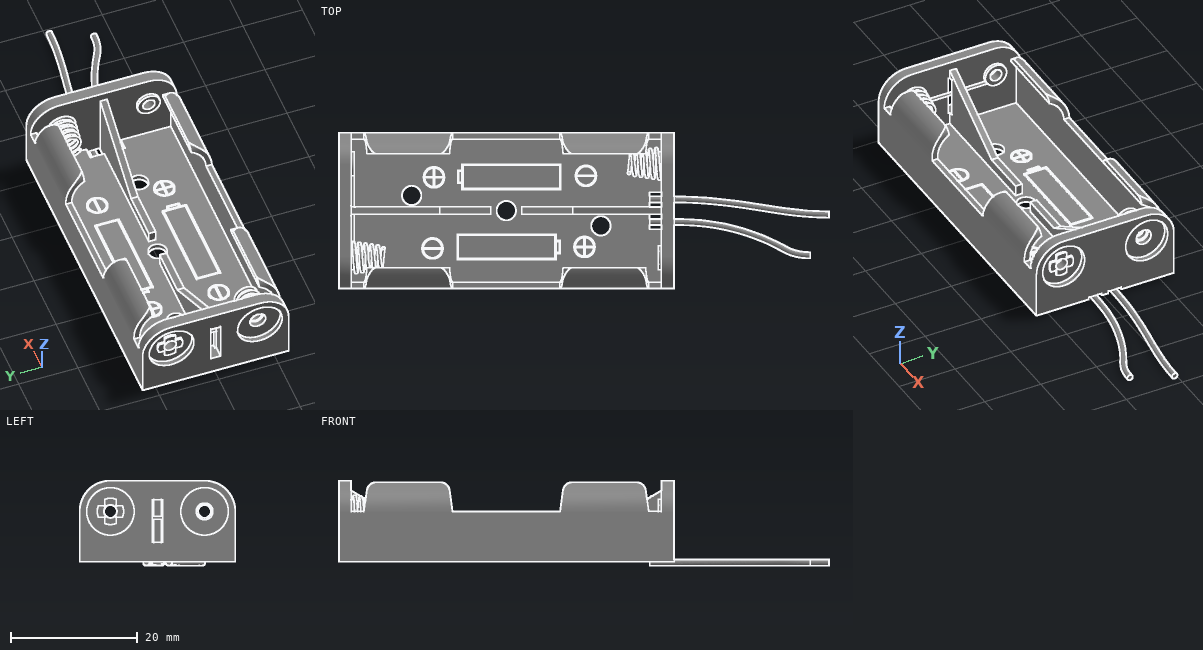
import cadquery as cq
import math


WIDTH = 24.6
HEIGHT = 12.85
SIDE_HEIGHT = 8.0
LEFT_WALL = 1.9
RIGHT_WALL = 2.0
CAVITY_LENGTH = 49.0
SIDE_WALL = 1.0
FLOOR = 1.0

LENGTH = LEFT_WALL + CAVITY_LENGTH + RIGHT_WALL
CAVITY_END = LEFT_WALL + CAVITY_LENGTH
MID_X = LEFT_WALL + CAVITY_LENGTH / 2
CORNER_RADIUS = HEIGHT - SIDE_HEIGHT
CELL_Y = WIDTH / 2 - CORNER_RADIUS
CELL_Z = SIDE_HEIGHT

CLIP_BASE = 14.0
CLIP_TOP = 12.8
CLIP_EDGE_Y = 9.0
CLIP_CORNER = 1.55
CLIP_SPACING = 30.95

RIB_WIDTH = 1.15
RIB_LOW = 2.9
RIB_HIGH = 11.3
RIB_SLOPE = 14.0
RIB_GAP = 4.9

MOUNT_HOLE_D = 3.0
MOUNT_HOLE_X = 14.9
MOUNT_HOLE_Y = 2.4
RECESS_D = 7.5
WEB = 1.0
EYELET_HOLE_D = 2.6
BUTTON_HOLE_D = 2.5
WALL_SLOT_WIDTH = 1.6
WALL_SLOT_BOTTOM = 3.1
WALL_SLOT_TOP = 9.8
WALL_SLOT_DEPTH = 2.55

LEAD_D = 1.0
LEAD_DROP = 0.6
LEAD_Y = 1.8
LEAD_Z = LEAD_D / 2 - LEAD_DROP
LEAD_SLOT_LENGTH = 1.85
LEAD_SLOT_WIDTH = 2.3
LEAD_START = CAVITY_END - LEAD_SLOT_LENGTH
UPPER_LEAD = [(65.3, 0.7), (77.4, -0.6)]
LOWER_LEAD = [(62.3, -2.9), (69.3, -5.5), (74.45, -7.05)]

STROKE = 0.19
ENGRAVING = 0.2
SYMBOL_D = 3.3
PLUS_CENTRES = [(15.0, 5.3), (38.8, -5.7)]
MINUS_CENTRES = [(39.0, 5.5), (14.8, -5.95)]
ICON_LENGTH = 15.6
ICON_WIDTH = 4.0
ICON_NUB_LENGTH = 0.7
ICON_NUB_WIDTH = 2.1
ICONS = [(27.25, 5.35, -1), (26.5, -5.7, 1)]

FLANGE_D = 3.8
BORE_D = 2.0
EYELET_COLLAR_D = 2.5
EYELET_COLLAR_LENGTH = 0.9
TAB_SPAN = 4.2
TAB_WIDTH = 1.8
TAB_THICKNESS = 0.3

SPRING_WIRE_D = 0.5
SPRING_LENGTH = 5.4
SPRING_BASE_D = 5.3
SPRING_TIP_D = 3.8
SPRING_TURNS = 5
COIL_BASE_RADIUS = (SPRING_BASE_D - SPRING_WIRE_D) / 2
COIL_TIP_RADIUS = (SPRING_TIP_D - SPRING_WIRE_D) / 2
JUMPER_Z = 7.0
FLANGE_THICKNESS = SPRING_WIRE_D


def block(x0, x1, y0, y1, z0, z1):
    """A box between two opposite corners."""
    return cq.Workplane("XY").box(x1 - x0, y1 - y0, z1 - z0, centered=False).translate((x0, y0, z0))


def x_cylinder(diameter, x0, x1, y=0, z=0):
    """A cylinder along X from x0 to x1."""
    return cq.Workplane("YZ", origin=(x0, y, z)).circle(diameter / 2).extrude(x1 - x0)


def other_end(body):
    """Turn a left-end feature half a turn about the middle of the cavity, to the right end."""
    return body.rotate((MID_X, 0, 0), (MID_X, 0, 1), 180)


def end_wall(x0, thickness):
    """A full-height wall across the holder with rounded upper corners."""
    wall = block(x0, x0 + thickness, -WIDTH / 2, WIDTH / 2, 0, HEIGHT)
    return wall.edges("|X and >Z").fillet(CORNER_RADIUS)


def clips():
    """Four curved fingers that rise from the side walls and lean over the cells."""
    clip_top_z = CELL_Z + math.sqrt(CORNER_RADIUS**2 - (CLIP_EDGE_Y - CELL_Y) ** 2)
    outline = (
        cq.Workplane("XZ", origin=(0, WIDTH, 0))
        .polyline([
            (-CLIP_BASE / 2, SIDE_HEIGHT),
            (CLIP_BASE / 2, SIDE_HEIGHT),
            (CLIP_TOP / 2, clip_top_z),
            (-CLIP_TOP / 2, clip_top_z),
        ])
        .close()
        .extrude(2 * WIDTH)
        .edges("|Y and >Z")
        .fillet(CLIP_CORNER)
    )
    fingers = cq.Workplane("XY")
    for side in (-1, 1):
        shell = x_cylinder(2 * CORNER_RADIUS, -CLIP_BASE, CLIP_BASE, side * CELL_Y, CELL_Z).cut(
            x_cylinder(2 * (CORNER_RADIUS - SIDE_WALL), -CLIP_BASE, CLIP_BASE, side * CELL_Y, CELL_Z)
        )
        y_range = sorted((side * CLIP_EDGE_Y, side * WIDTH))
        outer_part = block(-CLIP_BASE, CLIP_BASE, *y_range, SIDE_HEIGHT, HEIGHT)
        finger = shell.intersect(outer_part).intersect(outline)
        for along in (-1, 1):
            fingers = fingers.add(finger.translate((MID_X + along * CLIP_SPACING / 2, 0, 0)))
    return fingers.combine()


def rib():
    """The left half of the centre rib, low at mid-length and sloping up to the end wall."""
    rib_end = MID_X - RIB_GAP / 2
    return (
        cq.Workplane("XZ", origin=(0, RIB_WIDTH / 2, 0))
        .polyline([
            (LEFT_WALL, 0),
            (rib_end, 0),
            (rib_end, RIB_LOW),
            (LEFT_WALL + RIB_SLOPE, RIB_LOW),
            (LEFT_WALL, RIB_HIGH),
        ])
        .close()
        .extrude(RIB_WIDTH)
    )


def contact_openings(wall):
    """Recesses in the outside of a left end wall and the contact holes through the remaining web."""
    outside = LEFT_WALL - wall
    web_face = LEFT_WALL - WEB
    recesses = x_cylinder(RECESS_D, outside, web_face, CELL_Y, CELL_Z).union(
        x_cylinder(RECESS_D, outside, web_face, -CELL_Y, CELL_Z)
    )
    button_hole = x_cylinder(BUTTON_HOLE_D, web_face, LEFT_WALL, CELL_Y, CELL_Z)
    eyelet_hole = x_cylinder(EYELET_HOLE_D, web_face, LEFT_WALL, -CELL_Y, CELL_Z)
    return recesses.union(button_hole).union(eyelet_hole)


def jumper_slot():
    """Slot through the left end wall and into the rib, where the jumper crosses."""
    half = WALL_SLOT_WIDTH / 2
    return block(0, WALL_SLOT_DEPTH, -half, half, WALL_SLOT_BOTTOM, WALL_SLOT_TOP)


def mounting_holes():
    offsets = [(-MOUNT_HOLE_X, MOUNT_HOLE_Y), (0, 0), (MOUNT_HOLE_X, -MOUNT_HOLE_Y)]
    return (
        cq.Workplane("XY", origin=(MID_X, 0, 0)).pushPoints(offsets).circle(MOUNT_HOLE_D / 2).extrude(FLOOR)
    )


def lead_openings():
    """A floor slot on each side of the rib and a channel from it under the right end wall."""
    openings = cq.Workplane("XY")
    for side in (-1, 1):
        y_range = sorted((side * RIB_WIDTH / 2, side * (RIB_WIDTH / 2 + LEAD_SLOT_WIDTH)))
        openings = openings.add(block(LEAD_START, CAVITY_END, *y_range, 0, FLOOR))
        openings = openings.add(block(LEAD_START, LENGTH, *y_range, 0, LEAD_Z + LEAD_D / 2))
    return openings.combine()


def polarity_symbol(x, y, is_plus):
    """A ring around a minus or a plus sign."""
    inner_d = SYMBOL_D - 2 * STROKE
    plane = cq.Workplane("XY", origin=(x, y, FLOOR - ENGRAVING))
    symbol = plane.circle(SYMBOL_D / 2).circle(inner_d / 2).extrude(ENGRAVING)
    symbol = symbol.union(plane.rect(inner_d + STROKE, STROKE).extrude(ENGRAVING))
    if is_plus:
        symbol = symbol.union(plane.rect(STROKE, inner_d + STROKE).extrude(ENGRAVING))
    return symbol


def rectangle_stroke(x, y, length, width):
    plane = cq.Workplane("XY", origin=(x, y, FLOOR - ENGRAVING))
    return plane.rect(length, width).rect(length - 2 * STROKE, width - 2 * STROKE).extrude(ENGRAVING)


def cell_icon(x, y, nub_side):
    """The outline of a cell with its small terminal at one end."""
    nub_x = x + nub_side * (ICON_LENGTH + ICON_NUB_LENGTH - STROKE) / 2
    body = rectangle_stroke(x, y, ICON_LENGTH, ICON_WIDTH)
    return body.union(rectangle_stroke(nub_x, y, ICON_NUB_LENGTH + STROKE, ICON_NUB_WIDTH))


def make_housing():
    body = block(0, LENGTH, -WIDTH / 2, WIDTH / 2, 0, SIDE_HEIGHT)
    half_cavity = WIDTH / 2 - SIDE_WALL
    body = body.cut(block(LEFT_WALL, CAVITY_END, -half_cavity, half_cavity, FLOOR, HEIGHT))
    body = body.union(end_wall(0, LEFT_WALL)).union(end_wall(CAVITY_END, RIGHT_WALL))
    body = body.union(clips()).union(rib()).union(other_end(rib()))
    body = body.cut(contact_openings(LEFT_WALL)).cut(other_end(contact_openings(RIGHT_WALL)))
    body = body.cut(jumper_slot()).cut(mounting_holes()).cut(lead_openings())
    for x, y in PLUS_CENTRES:
        body = body.cut(polarity_symbol(x, y, True))
    for x, y in MINUS_CENTRES:
        body = body.cut(polarity_symbol(x, y, False))
    for x, y, nub_side in ICONS:
        body = body.cut(cell_icon(x, y, nub_side))
    return body


def make_button():
    """Positive contact: a flanged tube with four tabs spread over the outer side of the web."""
    web_face = LEFT_WALL - WEB
    tab_x = web_face - TAB_THICKNESS
    flange = x_cylinder(FLANGE_D, LEFT_WALL, LEFT_WALL + FLANGE_THICKNESS)
    tube = x_cylinder(BUTTON_HOLE_D, tab_x, LEFT_WALL)
    tab_plane = cq.Workplane("YZ", origin=(tab_x, 0, 0))
    cross = tab_plane.rect(TAB_SPAN, TAB_WIDTH).extrude(TAB_THICKNESS)
    cross = cross.union(tab_plane.rect(TAB_WIDTH, TAB_SPAN).extrude(TAB_THICKNESS))
    tabs = cross.intersect(x_cylinder(TAB_SPAN, tab_x, web_face))
    button = flange.union(tube).union(tabs)
    button = button.cut(x_cylinder(BORE_D, tab_x, LEFT_WALL + FLANGE_THICKNESS))
    return button.translate((0, CELL_Y, CELL_Z))


def make_eyelet():
    """Negative contact: a bored flange on the inner face, with a collar inside the spring."""
    collar_end = LEFT_WALL + EYELET_COLLAR_LENGTH
    eyelet = x_cylinder(FLANGE_D, LEFT_WALL, LEFT_WALL + FLANGE_THICKNESS)
    eyelet = eyelet.union(x_cylinder(EYELET_COLLAR_D, LEFT_WALL, collar_end))
    eyelet = eyelet.cut(x_cylinder(BORE_D, LEFT_WALL, collar_end))
    return eyelet.translate((0, -CELL_Y, CELL_Z))


def make_spring():
    """Tapered coil along X whose wire starts level with the jumper, on the rib side."""
    coil_height = SPRING_LENGTH - SPRING_WIRE_D
    taper = math.degrees(math.atan2(COIL_TIP_RADIUS - COIL_BASE_RADIUS, coil_height))
    helix = cq.Wire.makeHelix(coil_height / SPRING_TURNS, coil_height, COIL_BASE_RADIUS, angle=taper)
    coil = (
        cq.Workplane("XZ", origin=(COIL_BASE_RADIUS, 0, 0))
        .circle(SPRING_WIRE_D / 2)
        .sweep(cq.Workplane(helix), isFrenet=True)
    )
    start_angle = math.degrees(math.asin((JUMPER_Z - CELL_Z) / COIL_BASE_RADIUS))
    coil = coil.rotate((0, 0, 0), (0, 0, 1), start_angle).rotate((0, 0, 0), (1, 1, 1), 120)
    return coil.translate((LEFT_WALL + SPRING_WIRE_D / 2, -CELL_Y, CELL_Z))


def make_jumper_spring():
    """The left spring, with its wire running on to the rim of the left button."""
    start_y = math.sqrt(COIL_BASE_RADIUS**2 - (JUMPER_Z - CELL_Z) ** 2) - CELL_Y
    jumper = (
        cq.Workplane("XZ", origin=(LEFT_WALL + SPRING_WIRE_D / 2, start_y, JUMPER_Z))
        .circle(SPRING_WIRE_D / 2)
        .extrude(start_y - CELL_Y)
    )
    jumper = jumper.cut(x_cylinder(FLANGE_D, 0, SPRING_LENGTH, CELL_Y, CELL_Z))
    return make_spring().union(jumper)


def make_lead(start_y, points):
    """Wire laid straight under the end wall and then bending gently to its free end."""
    straight = x_cylinder(LEAD_D, LEAD_START, LENGTH, start_y, LEAD_Z)
    path = (
        cq.Workplane("XY", origin=(0, 0, LEAD_Z))
        .moveTo(LENGTH, start_y)
        .spline(points, tangents=[(1, 0), (1, 0)], includeCurrent=True)
    )
    section = cq.Workplane("YZ", origin=(LENGTH, start_y, LEAD_Z)).circle(LEAD_D / 2)
    return straight.union(section.sweep(path))


housing = make_housing()
springs = [make_jumper_spring(), other_end(make_spring())]
buttons = [make_button(), other_end(make_button())]
eyelets = [make_eyelet(), other_end(make_eyelet())]
leads = []
for start_y, points in ((LEAD_Y, UPPER_LEAD), (-LEAD_Y, LOWER_LEAD)):
    leads.append(make_lead(start_y, points))

bodies = [housing, *buttons, *eyelets, *springs, *leads]
result = cq.Compound.makeCompound([body.solids().val() for body in bodies])